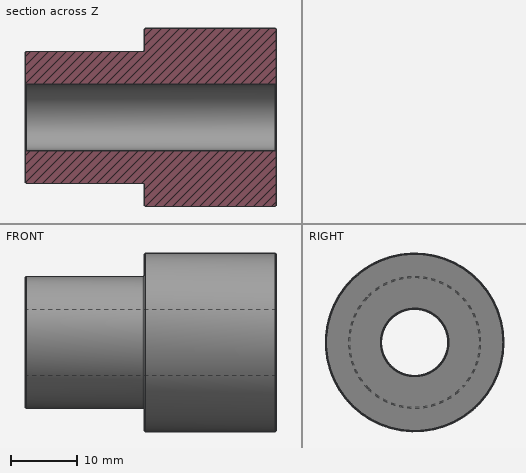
import cadquery as cq

total_length = 38.0
shank_length = 18.0
head_length = total_length - shank_length

head_diameter = 27.0
shank_diameter = 20.0
bore_diameter = 10.0

edge_chamfer = 0.2
root_fillet = 0.2


def cylinder_along_x(start, length, diameter):
    """Solid cylinder centred on the X axis, running towards +X."""
    return cq.Workplane("YZ", origin=(start, 0, 0)).circle(diameter / 2).extrude(length)


shank_start = -total_length / 2
shoulder = shank_start + shank_length
shank = cylinder_along_x(shank_start, shank_length, shank_diameter)
shank = shank.faces("<X").edges().chamfer(edge_chamfer)
head = cylinder_along_x(shoulder, head_length, head_diameter)
head = head.faces("<X or >X").edges().chamfer(edge_chamfer)
body = shank.union(head)

root_radius = shank_diameter / 2
root_edge = cq.selectors.BoxSelector(
    (shoulder - root_fillet, -root_radius - root_fillet, -root_radius - root_fillet),
    (shoulder + root_fillet / 2, root_radius + root_fillet, root_radius + root_fillet),
    boundingbox=True,
)
body = body.edges(root_edge).fillet(root_fillet)

body = body.cut(cylinder_along_x(shank_start, total_length, bore_diameter))
bore_mouths = body.faces("<X or >X").edges(cq.selectors.RadiusNthSelector(0))
result = bore_mouths.chamfer(edge_chamfer)